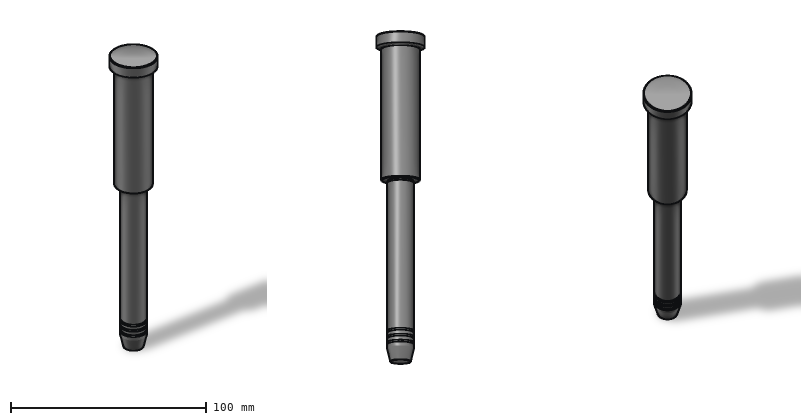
import cadquery as cq

total_length = 171.0
head_diameter = 25.0
head_height = 6.0
body_diameter = 20.0
shoulder_z = total_length - 76.0
pin_diameter = 14.0
edge_chamfer = 0.5

relief_depth = 0.5
relief_width = 1.0

groove_width = 1.0
groove_depth = 0.5
groove_corner_radius = 0.3
groove_count = 3
groove_pitch = 3.0
lowest_groove_z = 9.2

tip_length = 7.2
tip_diameter = 10.8
tip_hollow = 0.07
tip_chamfer = 0.3

head_radius = head_diameter / 2
body_radius = body_diameter / 2
pin_radius = pin_diameter / 2
tip_radius = tip_diameter / 2
head_bottom_z = total_length - head_height


def cylinder(radius, bottom_z, top_z):
    return cq.Workplane("XY").workplane(offset=bottom_z).circle(radius).extrude(top_z - bottom_z)


def square_groove(radius, depth, bottom_z, width):
    """Ring that removes a square groove from a cylinder of the given radius."""
    ring = cq.Workplane("XY").workplane(offset=bottom_z)
    return ring.circle(radius + depth).circle(radius - depth).extrude(width)


def round_groove(radius, bottom_z):
    """Ring that removes a groove with a flat floor and rounded floor corners."""
    ring = square_groove(radius, groove_depth, bottom_z, groove_width)
    floor_corners = cq.selectors.RadiusNthSelector(0)
    return ring.edges(floor_corners).fillet(groove_corner_radius)


def tapered_tip():
    arc_mid = (
        (pin_radius + tip_radius) / 2 - tip_hollow,
        (tip_length + tip_chamfer) / 2,
    )
    return (
        cq.Workplane("XZ")
        .lineTo(tip_radius - tip_chamfer, 0)
        .lineTo(tip_radius, tip_chamfer)
        .threePointArc(arc_mid, (pin_radius, tip_length))
        .lineTo(0, tip_length)
        .close()
        .revolve(360, (0, 0, 0), (0, 1, 0))
    )


head = cylinder(head_radius, head_bottom_z, total_length).faces(">Z").chamfer(edge_chamfer)
body = cylinder(body_radius, shoulder_z, head_bottom_z).faces("<Z").chamfer(edge_chamfer)
body = body.cut(round_groove(body_radius, head_bottom_z - groove_width))
pin = cylinder(pin_radius, tip_length, shoulder_z)
pin = pin.cut(square_groove(pin_radius, relief_depth, shoulder_z - relief_width, relief_width))

for index in range(groove_count):
    groove_z = lowest_groove_z + index * groove_pitch
    pin = pin.cut(round_groove(pin_radius, groove_z))

result = head.union(body).union(pin).union(tapered_tip())